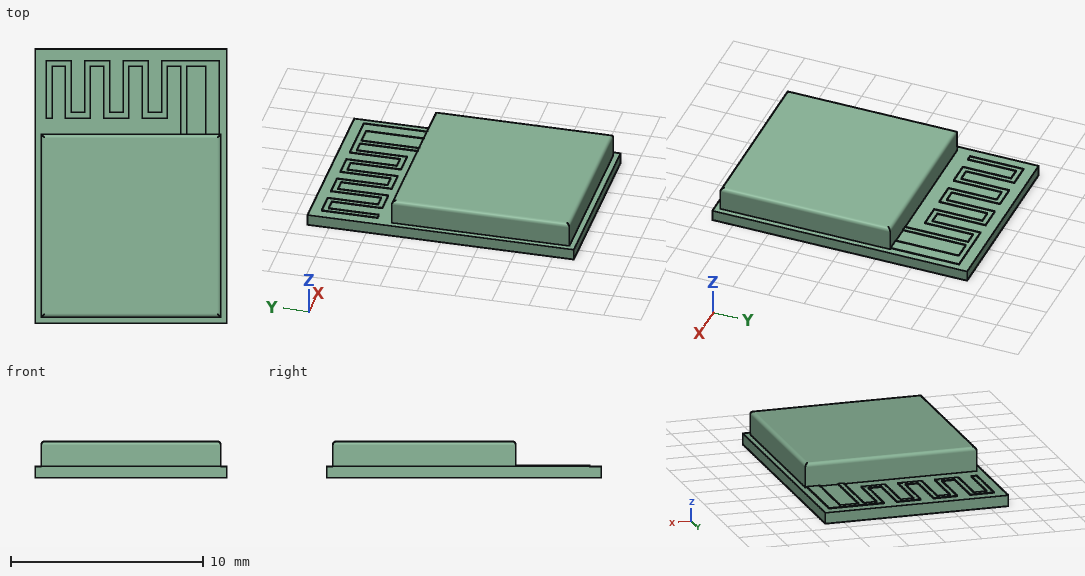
import cadquery as cq

board_width = 10.0
board_length = 14.3
board_thickness = 0.6
total_height = 1.9

can_margin = 0.31
can_back_gap = 4.45
can_fillet = 0.2
can_width = board_width - 2 * can_margin
can_height = total_height - board_thickness
can_back = board_length - can_back_gap

trace_width = 0.3
trace_thickness = 0.05
leg_pitch = 1.0
meander_leg_count = 7
antenna_left = 0.59
antenna_back = board_length - 0.61
meander_depth = 3.0
meander_front = antenna_back - meander_depth
ground_leg_width = 0.7
antenna_right = board_width - 0.4


def slab(left, front, right, back, thickness):
    """Rectangular block standing on the top face of the board."""
    return cq.Workplane("XY").box(
        right - left, back - front, thickness, centered=False
    ).translate((left, front, board_thickness))


def trace(left, front, right, back):
    return slab(left, front, right, back, trace_thickness)


def make_can():
    can = slab(can_margin, can_margin, can_margin + can_width, can_back, can_height)
    return can.faces(">Z").edges().fillet(can_fillet)


def make_antenna():
    feed_left = antenna_left + meander_leg_count * leg_pitch
    antenna = trace(feed_left, can_back, feed_left + trace_width, antenna_back)
    antenna = antenna.union(
        trace(antenna_right - ground_leg_width, can_back, antenna_right, antenna_back)
    )

    for index in range(meander_leg_count):
        left = antenna_left + index * leg_pitch
        next_right = left + leg_pitch + trace_width
        antenna = antenna.union(trace(left, meander_front, left + trace_width, antenna_back))
        link_front = antenna_back - trace_width if index % 2 == 0 else meander_front
        antenna = antenna.union(trace(left, link_front, next_right, link_front + trace_width))

    return antenna.union(trace(feed_left, antenna_back - trace_width, antenna_right, antenna_back))


board = cq.Workplane("XY").box(board_width, board_length, board_thickness, centered=False)
result = board.union(make_can()).union(make_antenna())